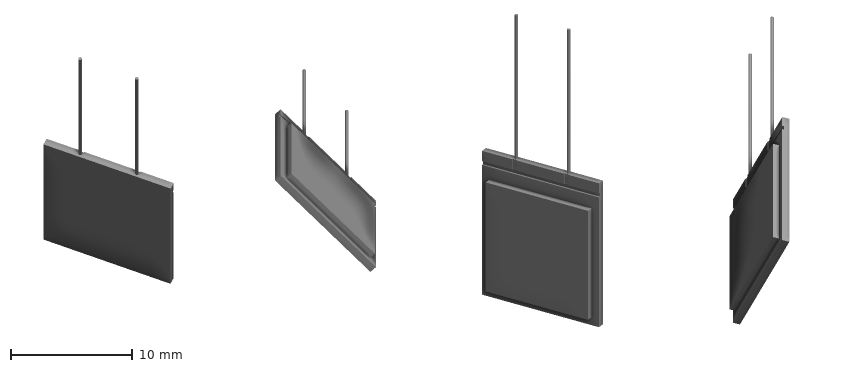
import cadquery as cq

plate_width = 11.45
plate_thickness = 0.63
plate_height = 13.2

pad_side = 10.0
pad_thickness = 0.55
pad_drop = 2.48

groove_height = 0.35
groove_drop = 0.95

lead_diameter = 0.3
lead_pitch = 5.1
lead_length = 13.2
lead_y = plate_thickness / 2
lead_positions = [side * lead_pitch / 2 for side in (-1, 1)]

slot_width = 0.42
slot_depth = 0.08

groove_depth = plate_thickness - lead_y - lead_diameter / 2


def box(width, y_size, height, x_center, y_start, z_start):
    """Box centred on x_center that grows in +Y and +Z from its start."""
    block = cq.Workplane("XY").box(width, y_size, height, centered=(True, False, False))
    return block.translate((x_center, y_start, z_start))


def make_plate():
    """Plate with its raised pad, cross groove and shallow slots."""
    plate = box(plate_width, plate_thickness, plate_height, 0, 0, 0)
    pad_bottom = plate_height - pad_drop - pad_side
    plate = plate.union(box(pad_side, pad_thickness, pad_side, 0, plate_thickness, pad_bottom))

    groove_bottom = plate_height - groove_drop - groove_height
    groove_floor = plate_thickness - groove_depth
    plate = plate.cut(box(plate_width, groove_depth, groove_height, 0, groove_floor, groove_bottom))

    slot_floor = plate_thickness - slot_depth
    slot_bottom = plate_height - groove_drop
    for x in lead_positions:
        plate = plate.cut(box(slot_width, slot_depth, groove_drop, x, slot_floor, slot_bottom))
    return plate


def make_lead(x):
    """Round lead standing on the plate's top edge."""
    base = cq.Workplane("XY", origin=(x, lead_y, plate_height))
    return base.circle(lead_diameter / 2).extrude(lead_length)


plate = make_plate()
leads = [make_lead(x) for x in lead_positions]

result = cq.Compound.makeCompound([plate.val(), *[lead.val() for lead in leads]])